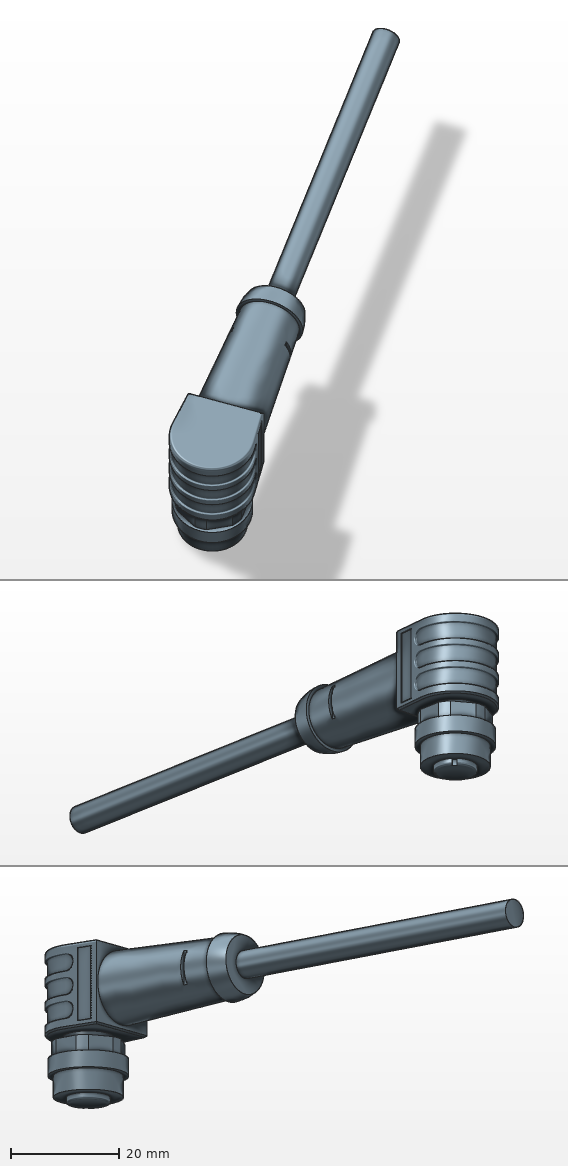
import cadquery as cq
import math


overall_length = 109.7
overall_height = 28.7

nose_radius = 8.0
housing_half_height = 8.0
housing_back = 8.0
housing_back_half_width = 7.3
housing_top_round = 0.7
housing_bottom_chamfer = 0.3

groove_count = 3
groove_pitch = 4.5
groove_height = 3.2
groove_end = 2.6
groove_depth = 0.4
groove_edge_round = 0.13

label_front = 3.7
label_back = 6.7
label_height = 13.8
label_depth = 0.2

cable_radius = 2.6
cable_end = overall_length - nose_radius
relief_front_radius = 7.0
relief_back_radius = 5.8
collar_front = 33.5
collar_back = 37.4
collar_front_radius = 6.5
collar_mid_radius = 6.3
collar_back_radius = 5.6

notch_position = 27.4
notch_width = 0.8
notch_floor = 5.2

neck_bottom = -9.2
hex_bottom = -12.3
ring_bottom = -15.5
sleeve_bottom = -19.5
tip_bottom = housing_half_height - overall_height

neck_top_radius = 4.6
neck_bottom_radius = 4.9
hex_across_flats = 12.9
hex_corner_radius = 6.9
ring_radius = 7.5
sleeve_radius = 6.5
tip_radius = 4.1
tip_round = 0.4
key_width = 0.9
key_depth = 0.7
key_angle = 225


def cylinder(radius, top, bottom):
    """Vertical cylinder on the plug axis between two levels."""
    return cq.Workplane("XY").workplane(offset=bottom).circle(radius).extrude(top - bottom)


def housing_prism(inset):
    """Full-height housing with its nose and sides set in by the given amount."""
    corner_distance = math.hypot(housing_back_half_width, housing_back)
    corner_angle = math.atan2(housing_back, housing_back_half_width)
    tangent_angle = corner_angle - math.acos(nose_radius / corner_distance)
    inset_x = inset * math.cos(tangent_angle)
    inset_y = inset * math.sin(tangent_angle)
    tangent_x = (nose_radius - inset) * math.cos(tangent_angle)
    tangent_y = (nose_radius - inset) * math.sin(tangent_angle)
    back_x = housing_back_half_width - inset_x
    back_y = housing_back - inset_y
    return (
        cq.Workplane("XY")
        .workplane(offset=-housing_half_height)
        .moveTo(back_x, back_y)
        .lineTo(tangent_x, tangent_y)
        .threePointArc((0, inset - nose_radius), (-tangent_x, tangent_y))
        .lineTo(-back_x, back_y)
        .close()
        .extrude(2 * housing_half_height)
    )


def skin(depth):
    """Outer layer of the housing sides and nose."""
    return housing_prism(0).cut(housing_prism(depth))


def finger_groove(level):
    """Shallow band around the nose with a rounded end on each side."""
    slot_length = 2 * (groove_end + nose_radius)
    slot = (
        cq.Workplane("YZ")
        .center(groove_end - slot_length / 2, level)
        .slot2D(slot_length, groove_height)
        .extrude(2 * nose_radius, both=True)
    )
    return slot.cut(housing_prism(groove_depth))


def label_recess():
    """Shallow rectangles on both sides."""
    window = cq.Workplane("XY").box(2 * nose_radius, label_back - label_front, label_height)
    return skin(label_depth).intersect(window.translate((0, (label_front + label_back) / 2, 0)))


def make_housing():
    """Housing with rounded top, label recesses and softened finger grooves."""
    body = housing_prism(0)
    body = body.faces(">Z").edges().fillet(housing_top_round)
    body = body.faces("<Z").edges().chamfer(housing_bottom_chamfer)
    body = body.cut(label_recess())
    for index in range(groove_count):
        level = (index - (groove_count - 1) / 2) * groove_pitch
        body = body.cut(finger_groove(level))
    zone_half_height = groove_count * groove_pitch / 2
    groove_zone = cq.selectors.BoxSelector(
        (-2 * nose_radius, -2 * nose_radius, -zone_half_height),
        (2 * nose_radius, (groove_end + label_front) / 2, zone_half_height),
    )
    groove_edges = body.edges(groove_zone).edges("not(|Z or |X)")
    return groove_edges.fillet(groove_edge_round)


def make_cable_side():
    """Strain relief with its collar, and the cable leaving it."""
    body = (
        cq.Workplane("YZ")
        .lineTo(cable_end, 0)
        .lineTo(cable_end, cable_radius)
        .lineTo(collar_back, cable_radius)
        .lineTo(collar_back, collar_back_radius)
        .threePointArc(
            ((collar_front + collar_back) / 2, collar_mid_radius),
            (collar_front, collar_front_radius),
        )
        .lineTo(collar_front, relief_back_radius)
        .lineTo(housing_back, relief_front_radius)
        .lineTo(0, relief_front_radius)
        .close()
        .revolve(360, (0, 0, 0), (1, 0, 0))
    )
    notch_block = cq.Workplane("XY").box(2 * notch_floor, notch_width, 4 * notch_floor)
    for side in (1, -1):
        body = body.cut(notch_block.translate((side * 2 * notch_floor, notch_position, 0)))
    return body


def make_plug():
    """Neck, hexagon, ring, sleeve and keyed tip, from the housing downwards."""
    neck = (
        cq.Workplane("XY")
        .workplane(offset=-housing_half_height)
        .circle(neck_top_radius)
        .workplane(offset=neck_bottom + housing_half_height)
        .circle(neck_bottom_radius)
        .loft()
    )
    hexagon = (
        cq.Workplane("XY")
        .workplane(offset=hex_bottom)
        .polygon(6, hex_across_flats, circumscribed=True)
        .extrude(neck_bottom - hex_bottom)
        .intersect(cylinder(hex_corner_radius, neck_bottom, hex_bottom))
    )
    tip = cylinder(tip_radius, sleeve_bottom, tip_bottom).faces("<Z").fillet(tip_round)
    key = (
        cq.Workplane("XY")
        .box(2 * key_depth, key_width, 2 * (sleeve_bottom - tip_bottom))
        .translate((tip_radius, 0, tip_bottom))
        .rotate((0, 0, 0), (0, 0, 1), key_angle)
    )
    return (
        neck.union(hexagon)
        .union(cylinder(ring_radius, hex_bottom, ring_bottom))
        .union(cylinder(sleeve_radius, ring_bottom, sleeve_bottom))
        .union(tip.cut(key))
    )


result = make_housing()
result = result.union(make_cable_side()).union(make_plug())